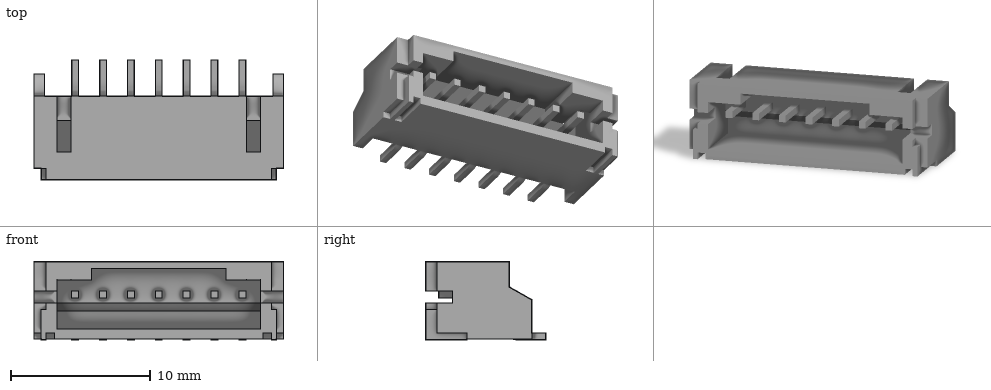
import cadquery as cq
import math


length = 17.9
left = -length / 2
height = 5.6
standoff = 0.05
housing_depth = 6.0

lug_width = 0.77
lug_back = 7.6
lug_back_top = 2.88
lug_slope_top = 3.8

end_wall = 1.65
floor_top = 0.77
roof_bottom = 4.3
raised_roof_bottom = 5.12
raised_roof_inset = 4.12
back_wall = 4.26
undercut_top = 2.65
undercut_bottom = 2.08
undercut_depth = undercut_top - undercut_bottom

slot_bottom = undercut_top
slot_top = 3.49
slot_depth = 1.92

notch_width = 1.0
notch_front = 2.0

step_width = 0.88
step_depth = 0.82
recess_width = 1.47
recess_depth = 2.95
recess_top = 0.5

tab_thickness = 0.35
tab_top = 2.17

pin_count = 7
pin_row_length = 12.0
pin_pitch = pin_row_length / (pin_count - 1)
pin_size = 0.5
contact_front = 0.93
contact_top = slot_top
contact_bottom = contact_top - pin_size
foot_back = 8.61
foot_bend = 6.6
bend_inner_radius = 0.68


def box(x, y, z):
    """Box spanning the given (low, high) pairs."""
    return cq.Workplane("XY").box(
        x[1] - x[0], y[1] - y[0], z[1] - z[0], centered=False
    ).translate((x[0], y[0], z[0]))


def side_profile(points, x_low, width):
    """Extrude a closed (Y, Z) outline along +X."""
    return cq.Workplane("YZ", origin=(x_low, 0, 0)).polyline(points).close().extrude(width)


def both_ends(left_part):
    """Add the mirrored copy for the +X end."""
    return left_part.union(left_part.mirror("YZ"))


def make_lugs():
    outline = [
        (housing_depth, standoff),
        (lug_back, standoff),
        (lug_back, lug_back_top),
        (housing_depth, lug_slope_top),
    ]
    return both_ends(side_profile(outline, left, lug_width))


def make_cavity():
    inside = left + end_wall
    outline = [
        (0, floor_top),
        (back_wall + undercut_depth, floor_top),
        (back_wall + undercut_depth, undercut_bottom),
        (back_wall, undercut_top),
        (back_wall, roof_bottom),
        (0, roof_bottom),
    ]
    main = side_profile(outline, inside, -2 * inside)
    raised = left + raised_roof_inset
    return main.union(box((raised, -raised), (0, back_wall), (roof_bottom, raised_roof_bottom)))


def make_end_cuts():
    slot = box((left, left + end_wall), (0, slot_depth), (slot_bottom, slot_top))
    notch_x = left + end_wall
    notch = box((notch_x, notch_x + notch_width), (notch_front, housing_depth), (roof_bottom, height))
    step = box((left, left + step_width), (0, step_depth), (0, height))
    recess = box((left, left + recess_width), (0, recess_depth), (0, recess_top))
    return both_ends(slot.union(notch).union(step).union(recess))


def make_tabs():
    tab_x = left + step_width - tab_thickness
    outline = [
        (0, 0),
        (recess_depth, 0),
        (recess_depth, recess_top),
        (step_depth, recess_top),
        (step_depth, tab_top),
        (0, tab_top),
    ]
    return both_ends(side_profile(outline, tab_x, tab_thickness))


def make_pin(x):
    pin_x = x - pin_size / 2
    contact = box(
        (pin_x, pin_x + pin_size), (contact_front, back_wall), (contact_bottom, contact_top)
    )
    inner = bend_inner_radius
    outer = inner + pin_size
    centre_z = outer
    mid_turn = math.sqrt(0.5)
    foot = (
        cq.Workplane("YZ", origin=(pin_x, 0, 0))
        .moveTo(foot_bend, 0)
        .lineTo(foot_back, 0)
        .lineTo(foot_back, pin_size)
        .lineTo(foot_bend, pin_size)
        .threePointArc(
            (foot_bend - inner * mid_turn, centre_z - inner * mid_turn),
            (foot_bend - inner, centre_z),
        )
        .lineTo(foot_bend - outer, centre_z)
        .threePointArc(
            (foot_bend - outer * mid_turn, centre_z - outer * mid_turn),
            (foot_bend, 0),
        )
        .close()
        .extrude(pin_size)
    )
    return contact.union(foot)


result = box((left, -left), (0, housing_depth), (standoff, height)).union(make_lugs())
result = result.cut(make_cavity()).cut(make_end_cuts())
result = result.union(make_tabs())
for i in range(pin_count):
    result = result.union(make_pin(i * pin_pitch - pin_row_length / 2))